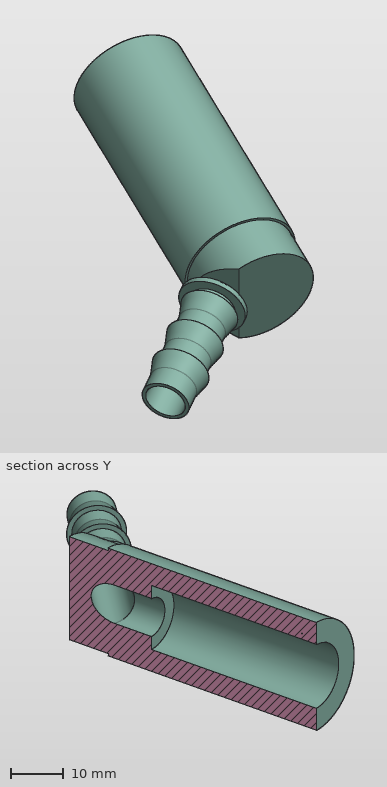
import cadquery as cq
import math

barrel_diameter = 23.0
barrel_length = 50.6
collar_diameter = 22.0
body_length = 60.0

socket_diameter = 13.5
socket_depth = 40.0

barb_angle = 45.0
elbow_x = 49.0
seat_distance = 11.0
spigot_length = 27.85
spigot_diameter = 9.5
bore_diameter = 8.0

flange_diameter = 13.5
flange_start = 1.4
flange_thickness = 1.1

ridge_diameter = 11.5
ridge_length = 4.0
ridge_start = 3.9
ridge_pitch = 7.85
ridge_count = 3

barb_direction = cq.Vector(
    math.cos(math.radians(barb_angle)), -math.sin(math.radians(barb_angle)), 0
)
elbow = cq.Vector(elbow_x, 0, 0)


def point_on_barb(distance):
    """Point on the barb axis, measured outwards from the elbow."""
    return elbow + barb_direction * distance


def barb_cylinder(start, length, diameter):
    """Cylinder on the barb axis; start is measured from the elbow."""
    return cq.Workplane(
        cq.Solid.makeCylinder(diameter / 2, length, point_on_barb(start), barb_direction)
    )


def ridge(start):
    """Cone that falls from the ridge diameter to the spigot diameter."""
    return cq.Workplane(
        cq.Solid.makeCone(
            ridge_diameter / 2,
            spigot_diameter / 2,
            ridge_length,
            point_on_barb(start),
            barb_direction,
        )
    )


def make_body():
    """Barrel and collar, with the collar's corner cut flat as the barb seat."""
    barrel = cq.Workplane("YZ").circle(barrel_diameter / 2).extrude(barrel_length)
    collar = cq.Workplane("YZ").circle(collar_diameter / 2).extrude(body_length)
    corner = barb_cylinder(seat_distance, body_length, 2 * body_length)
    return barrel.union(collar).cut(corner)


def make_barb():
    """Spigot with its flange and hose ridges."""
    barb = barb_cylinder(0, seat_distance + spigot_length, spigot_diameter)
    barb = barb.union(
        barb_cylinder(seat_distance + flange_start, flange_thickness, flange_diameter)
    )
    for index in range(ridge_count):
        barb = barb.union(ridge(seat_distance + ridge_start + index * ridge_pitch))
    return barb


def make_bore():
    """Mitred passage from the barrel's open end out through the barb tip."""
    tip = point_on_barb(seat_distance + spigot_length)
    path = cq.Workplane("XY").polyline([(0, 0), (elbow.x, elbow.y), (tip.x, tip.y)])
    return cq.Workplane("YZ").circle(bore_diameter / 2).sweep(path, transition="right")


socket = cq.Workplane("YZ").circle(socket_diameter / 2).extrude(socket_depth)

result = make_body().union(make_barb()).cut(make_bore()).cut(socket)